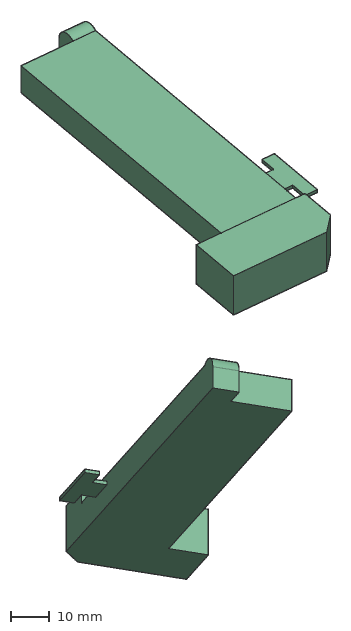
import cadquery as cq

total_length = 112.0
total_depth = 43.0

block_length = 16.0
block_depth = 35.0
block_height = 13.0
block_corner_chamfer = 5.0

bar_depth = 24.1
bar_height = 9.0

nose_length = 6.0
nose_depth = 7.3
nose_wall_height = 6.0

tab_thickness = 1.0
tab_bottom = 6.0
tab_head_left = 72.2
tab_head_length = 18.5
tab_head_depth = 4.0
tab_neck_left = 77.3
tab_neck_length = 8.2

back_y = block_depth
block_left = total_length - block_length
bar_length = block_left - nose_length
tab_neck_depth = total_depth - back_y - tab_head_depth


def box_at(length, depth, height, corner):
    """Box whose lowest left front corner is at the given point."""
    return cq.Workplane("XY").box(length, depth, height, centered=False).translate(corner)


def make_end_block():
    block = box_at(block_length, block_depth, block_height, (block_left, 0, 0))
    return block.edges("|Z and >X and >Y").chamfer(block_corner_chamfer)


def make_nose():
    """Upright wall that curves tangentially over to the top edge of the bar."""
    return (
        cq.Workplane("XZ", origin=(0, back_y, 0))
        .lineTo(0, nose_wall_height)
        .tangentArcPoint((nose_length, bar_height), relative=False)
        .lineTo(nose_length, 0)
        .close()
        .extrude(nose_depth)
    )


def make_housing():
    bar = box_at(bar_length, bar_depth, bar_height, (nose_length, back_y - bar_depth, 0))
    return bar.union(make_end_block()).union(make_nose())


def make_tab():
    """Flat T whose neck ends against the back face of the bar."""
    neck = box_at(tab_neck_length, tab_neck_depth, tab_thickness, (tab_neck_left, back_y, tab_bottom))
    head_corner = (tab_head_left, back_y + tab_neck_depth, tab_bottom)
    head = box_at(tab_head_length, tab_head_depth, tab_thickness, head_corner)
    return neck.union(head)


housing = make_housing()
tab = make_tab()

result = cq.Compound.makeCompound([housing.solids().val(), tab.solids().val()])